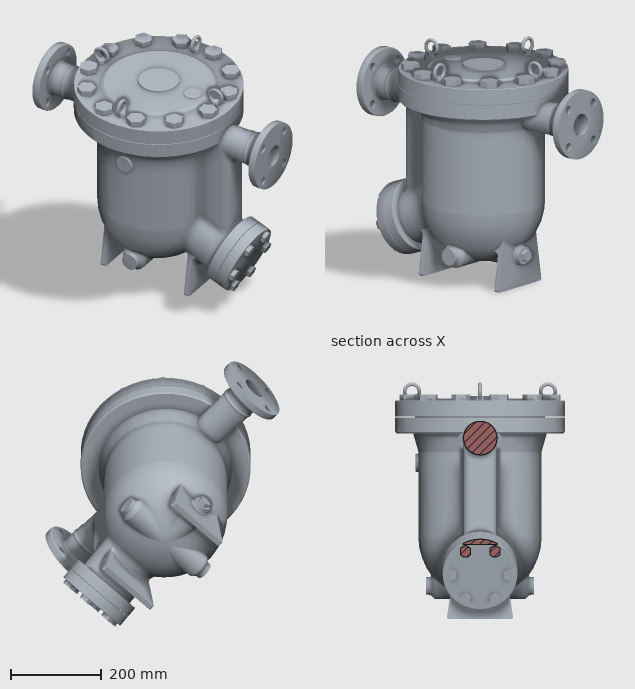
import cadquery as cq
import math


vessel_radius = 136.0
dome_z = -219.5
neck_bottom_z = -30.5
neck_top_radius = 147.5
flange_radius = 187.5
flange_bottom_z = 10.0
joint_z = 46.0
gasket_thickness = 1.5
gasket_radius = 143.0
cover_top_z = 82.0
cover_edge_chamfer = 1.0
flange_edge_fillet = 3.0

cover_step_base_radius = 130.0
cover_step_top_radius = 121.0
cover_step_height = 5.0
cover_boss_height = 5.0
cover_boss_radius = 45.0
cover_boss_base_fillet = 2.0
small_boss_radius = 20.0
small_boss_edge_fillet = 2.0
cover_small_boss_height = 3.0
cover_small_boss_x = 89.5
bolt_count = 12
bolt_circle_radius = 162.5
first_bolt_angle = 180 / bolt_count
bolt_across_flats = 36.0
bolt_head_height = 14.0
eye_count = 4
eye_circle_radius = 150.0
eye_wire_radius = 4.0
eye_ring_radius = 16.0
eye_top_z = 122.5
eye_collar_base_radius = 10.5
eye_collar_top_radius = 8.0
eye_collar_height = 9.0

inlet_face_x = -282.0
outlet_face_x = 302.0
port_radius = 36.0
weld_pipe_radius = 37.5
weld_pipe_length = 72.0
bead_start = 47.0
bead_width = 9.0
bead_height = 1.8
pipe_flange_radius = 77.5
pipe_flange_thickness = 17.0
pipe_flange_edge_fillet = 2.0
pipe_hub_fillet = 5.5
bore_radius = 25.0
bore_depth = 30.0
pipe_bolt_hole_radius = 9.5
pipe_bolt_circle_radius = 60.0
pipe_bolt_count = 4

riser_outer_x = 203.5
riser_corner_radius = 17.0
riser_bottom_z = -235.0
riser_root_fillet = 15.0
riser_outlet_fillet = 15.0

branch_tilt = 20.0
branch_face_x = 187.5
branch_face_z = -284.0
branch_pipe_radius = 66.0
branch_pipe_length = 120.0
branch_flange_radius = 82.5
branch_flange_thickness = 26.0
branch_cover_thickness = 25.0
branch_flange_edge_fillet = 1.5
branch_gasket_thickness = 1.0
branch_gasket_radius = 52.5
branch_bolt_count = 6
branch_bolt_circle_radius = 65.0
small_bolt_across_flats = 24.0
small_bolt_head_height = 9.5
branch_root_fillet = 15.0

low_boss_z = -326.5
low_boss_radius = 28.5
low_boss_length = 100.0
low_boss_cone_length = 9.5
low_boss_nose_radius = 20.0
low_boss_nose_reach = 114.0
low_boss_plug_radius = 19.335
low_boss_reach = 119.0
low_boss_fillet = 4.0
low_boss_angles = (90, 180, 270)
low_boss_fillet_end_z = -349.0

side_boss_z = -55.0
side_boss_reach = 142.0

leg_xs = (-99.5, 119.5)
leg_thickness = 12.0
leg_bottom_z = -400.0
leg_bottom_width = 148.0
leg_top_width = 92.0
leg_top_z = -230.0
leg_corner_fillet = 5.0
leg_root_fillet = 10.0
leg_root_sink = 0.1

skin_tolerance = 1e-3


def seam_edges(base, addition, joined):
    """Edges of the joined solid that lie on the skins of both of its parts."""
    skins = [part.val().Shells()[0] for part in (base, addition)]

    def on_both_skins(edge):
        middle = cq.Vertex.makeVertex(*edge.positionAt(0.5).toTuple())
        return all(skin.distance(middle) < skin_tolerance for skin in skins)

    return [edge for edge in joined.edges().vals() if on_both_skins(edge)]


def blend(base, addition, radius):
    """Join two solids and round the corner where they meet."""
    joined = base.union(addition)
    return joined.newObject(seam_edges(base, addition, joined)).fillet(radius)


def hex_head(across_flats, height):
    return cq.Workplane("XY").polygon(6, across_flats / math.cos(math.pi / 6)).extrude(height)


def repeat_around(shape, count, start_angle=0.0):
    """Copies of a shape evenly spaced around the Z axis."""
    copies = cq.Workplane("XY")
    for i in range(count):
        copies = copies.add(shape.rotate((0, 0, 0), (0, 0, 1), start_angle + i * 360 / count))
    return copies


def make_shell(radius):
    """Cylinder with a hemispherical bottom, up to the pipe axis."""
    return (
        cq.Workplane("XZ")
        .moveTo(0, dome_z - radius)
        .radiusArc((radius, dome_z), -radius)
        .lineTo(radius, 0)
        .lineTo(0, 0)
        .close()
        .revolve(360, (0, 0), (0, 1))
    )


def make_riser():
    return (
        cq.Workplane("XY", origin=(riser_outer_x / 2, 0, riser_bottom_z))
        .rect(riser_outer_x, 2 * port_radius)
        .extrude(-riser_bottom_z)
        .edges("|Z and >X")
        .fillet(riser_corner_radius)
    )


def place_branch(shape):
    """Turn a shape built along +Z onto the branch axis, Z = 0 going to the branch flange's back."""
    turned = shape.rotate((0, 0, 0), (0, 1, 0), 90 + branch_tilt)
    return turned.translate((branch_face_x, 0, branch_face_z))


def make_branch_pipe(radius):
    pipe = cq.Workplane("XY").circle(radius).extrude(-branch_pipe_length)
    return place_branch(pipe)


def make_branch_flange():
    total = branch_flange_thickness + branch_cover_thickness
    gap_start = branch_flange_thickness - branch_gasket_thickness / 2
    gap = (
        cq.Workplane("XY", origin=(0, 0, gap_start))
        .circle(2 * branch_flange_radius)
        .circle(branch_gasket_radius)
        .extrude(branch_gasket_thickness)
    )
    flange = cq.Workplane("XY").circle(branch_flange_radius).extrude(total)
    flange = flange.edges().fillet(branch_flange_edge_fillet).cut(gap)
    head = hex_head(small_bolt_across_flats, small_bolt_head_height)
    for i in range(branch_bolt_count):
        angle = math.radians((i + 0.5) * 360 / branch_bolt_count)
        x = branch_bolt_circle_radius * math.cos(angle)
        y = branch_bolt_circle_radius * math.sin(angle)
        flange = flange.union(head.translate((x, y, total)))
    return place_branch(flange)


def make_low_boss():
    """Boss along +X with a conical shoulder and a narrower nose."""
    cone_end = low_boss_length + low_boss_cone_length
    return (
        cq.Workplane("XZ")
        .polyline([
            (0, 0),
            (0, low_boss_radius),
            (low_boss_length, low_boss_radius),
            (cone_end, low_boss_nose_radius),
            (low_boss_nose_reach, low_boss_nose_radius),
            (low_boss_nose_reach, low_boss_plug_radius),
            (low_boss_reach, low_boss_plug_radius),
            (low_boss_reach, 0),
        ])
        .close()
        .revolve(360, (0, 0), (1, 0))
        .translate((0, 0, low_boss_z))
    )


def make_bottom():
    """Shell with the low bosses towards +Y, -X and -Y, rounded into the dome."""
    above_fillet_end = (
        cq.Workplane("XY", origin=(0, 0, low_boss_fillet_end_z))
        .rect(2 * low_boss_reach, 2 * low_boss_reach)
        .extrude(2 * low_boss_reach)
    )
    rounded_part = make_low_boss().intersect(above_fillet_end)
    bottom = make_shell(vessel_radius)
    for angle in low_boss_angles:
        bottom = blend(bottom, rounded_part.rotate((0, 0, 0), (0, 0, 1), angle), low_boss_fillet)
    for angle in low_boss_angles:
        bottom = bottom.union(make_low_boss().rotate((0, 0, 0), (0, 0, 1), angle))
    return bottom


def make_leg_plate(x, thickness):
    plate = (
        cq.Workplane("YZ", origin=(x - thickness / 2, 0, 0))
        .moveTo(-leg_bottom_width / 2, leg_bottom_z)
        .lineTo(leg_bottom_width / 2, leg_bottom_z)
        .lineTo(leg_top_width / 2, leg_top_z)
        .lineTo(-leg_top_width / 2, leg_top_z)
        .close()
        .extrude(thickness)
    )
    return plate.edges("|X and <Z").fillet(leg_corner_fillet)


def make_leg(x):
    """Leg with its rounded root, flush with the slanted sides, and the vessel material behind it."""
    core = make_shell(vessel_radius - leg_root_sink)
    core = core.union(make_branch_pipe(branch_pipe_radius - leg_root_sink))
    rounded = blend(core, make_leg_plate(x, leg_thickness), leg_root_fillet)
    return rounded.intersect(make_leg_plate(x, leg_thickness + 4 * leg_root_fillet))


def make_small_boss(height):
    """Round boss along +Z with a rounded rim."""
    boss = cq.Workplane("XY").circle(small_boss_radius).extrude(height)
    return boss.edges(">Z").fillet(small_boss_edge_fillet)


def make_top():
    """Neck, body flange, gasket and cover, down to the top of the cylinder."""
    body_flange_top = joint_z - gasket_thickness / 2
    cover_bottom = joint_z + gasket_thickness / 2
    step_top = cover_top_z + cover_step_height
    top = (
        cq.Workplane("XZ")
        .polyline([
            (0, neck_bottom_z),
            (vessel_radius, neck_bottom_z),
            (neck_top_radius, flange_bottom_z),
            (flange_radius - flange_edge_fillet, flange_bottom_z),
            (flange_radius, flange_bottom_z + flange_edge_fillet),
            (flange_radius, body_flange_top),
            (gasket_radius, body_flange_top),
            (gasket_radius, cover_bottom),
            (flange_radius, cover_bottom),
            (flange_radius, cover_top_z - cover_edge_chamfer),
            (flange_radius - cover_edge_chamfer, cover_top_z),
            (cover_step_base_radius, cover_top_z),
            (cover_step_top_radius, step_top),
            (0, step_top),
        ])
        .close()
        .revolve(360, (0, 0), (0, 1))
    )
    plane = cq.Workplane("XY", origin=(0, 0, step_top))
    centre_boss = plane.circle(cover_boss_radius).extrude(cover_boss_height)
    top = blend(top, centre_boss, cover_boss_base_fillet)
    small_boss = make_small_boss(cover_small_boss_height)
    return top.union(small_boss.translate((cover_small_boss_x, 0, step_top)))


def make_cover_bolts():
    head = hex_head(bolt_across_flats, bolt_head_height).rotate((0, 0, 0), (0, 0, 1), -first_bolt_angle)
    head = head.translate((bolt_circle_radius, 0, cover_top_z))
    return repeat_around(head, bolt_count, first_bolt_angle)


def make_eye_bolts():
    ring_z = eye_top_z - eye_ring_radius - eye_wire_radius
    ring = cq.Workplane("XY").add(
        cq.Solid.makeTorus(
            eye_ring_radius, eye_wire_radius, cq.Vector(eye_circle_radius, 0, ring_z), cq.Vector(0, 1, 0)
        )
    )
    collar_base = cq.Vector(eye_circle_radius, 0, cover_top_z)
    collar = cq.Solid.makeCone(
        eye_collar_base_radius, eye_collar_top_radius, eye_collar_height, collar_base
    )
    return repeat_around(ring.union(cq.Workplane("XY").add(collar)), eye_count)


def make_weld_pipe():
    """Flanged pipe end along +X, its flange face at X = 0."""
    hub_end = pipe_flange_thickness + pipe_hub_fillet
    bead_end = bead_start + bead_width
    back_edge = pipe_flange_thickness - pipe_flange_edge_fillet
    pipe = (
        cq.Workplane("XZ")
        .moveTo(0, 0)
        .lineTo(0, pipe_flange_radius)
        .lineTo(back_edge, pipe_flange_radius)
        .radiusArc(
            (pipe_flange_thickness, pipe_flange_radius - pipe_flange_edge_fillet), pipe_flange_edge_fillet
        )
        .lineTo(pipe_flange_thickness, weld_pipe_radius + pipe_hub_fillet)
        .radiusArc((hub_end, weld_pipe_radius), -pipe_hub_fillet)
        .lineTo(bead_start, weld_pipe_radius)
        .threePointArc(
            ((bead_start + bead_end) / 2, weld_pipe_radius + bead_height), (bead_end, weld_pipe_radius)
        )
        .lineTo(weld_pipe_length, weld_pipe_radius)
        .lineTo(weld_pipe_length, 0)
        .close()
        .revolve(360, (0, 0), (1, 0))
    )
    holes = (
        cq.Workplane("YZ")
        .polarArray(pipe_bolt_circle_radius, 180 / pipe_bolt_count, 360, pipe_bolt_count)
        .circle(pipe_bolt_hole_radius)
        .extrude(pipe_flange_thickness)
    )
    return pipe.cut(holes)


def make_port(length):
    """Plain pipe along +X from the vessel axis."""
    return cq.Workplane("YZ").circle(port_radius).extrude(length)


def make_bore():
    return cq.Workplane("YZ").circle(bore_radius).extrude(bore_depth)


def to_inlet(shape):
    return shape.translate((inlet_face_x, 0, 0))


def to_outlet(shape):
    return shape.mirror("YZ").translate((outlet_face_x, 0, 0))


outlet_port = make_port(outlet_face_x - weld_pipe_length)
inlet_port = make_port(-inlet_face_x - weld_pipe_length).mirror("YZ")
body = blend(make_bottom(), make_riser(), riser_root_fillet)
body = blend(body, make_branch_pipe(branch_pipe_radius), branch_root_fillet)
body = body.union(blend(make_riser(), outlet_port, riser_outlet_fillet))
body = body.union(make_branch_flange())

for leg_x in leg_xs:
    body = body.union(make_leg(leg_x))

plug_head = hex_head(small_bolt_across_flats, small_bolt_head_height).rotate((0, 0, 0), (0, 1, 0), -90)
body = body.union(plug_head.translate((-low_boss_reach, 0, low_boss_z)))

side_boss = make_small_boss(side_boss_reach).rotate((0, 0, 0), (1, 0, 0), 90)
body = body.union(side_boss.translate((0, 0, side_boss_z)))

body = body.union(inlet_port).union(make_top())
body = body.union(to_inlet(make_weld_pipe())).union(to_outlet(make_weld_pipe()))
body = body.union(make_cover_bolts()).union(make_eye_bolts())
body = body.cut(to_inlet(make_bore())).cut(to_outlet(make_bore()))

result = body